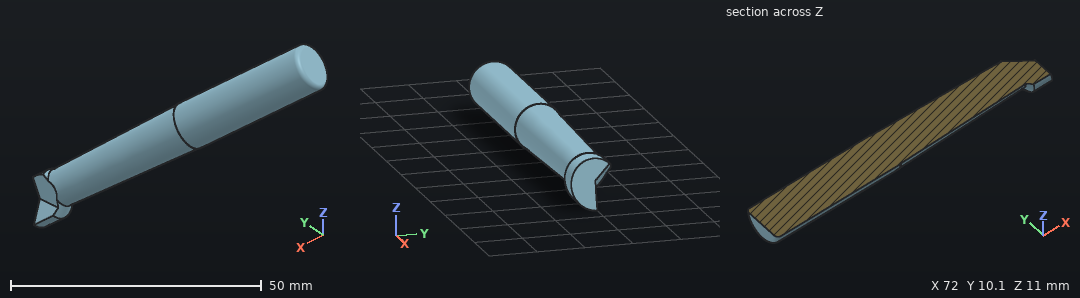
import cadquery as cq
import math

shank_diameter = 10.0
shank_length = 32.0
shank_edge_radius = 1.0
neck_start_diameter = 9.8
neck_end_diameter = 8.0
neck_end_x = 65.0

tip_x = 72.0
tip_z = -6.0
head_radius = 5.06
head_center_z = tip_z + head_radius
front_relief_angle = 15.0
back_cone_angle = 45.0

rake_face_y = 0.0
flute_corner_z = -0.2
floor_climb_forward = 43.0
floor_climb_outward = 49.5

shank_radius = shank_diameter / 2
neck_start_radius = neck_start_diameter / 2
neck_end_radius = neck_end_diameter / 2
back_slope = math.tan(math.radians(back_cone_angle))
front_slope = math.tan(math.radians(front_relief_angle))
clearance = 20.0


def front_face_x(z):
    """X of the inclined front face at height z."""
    return tip_x - (z - tip_z) * front_slope


def revolve_about_bar_axis(half_profile):
    """Solid of revolution about X from points (x, radius)."""
    return cq.Workplane("XZ").polyline(half_profile).close().revolve(360, (0, 0, 0), (1, 0, 0))


def make_shank():
    """Straight shank with a rounded rear edge."""
    shank = cq.Workplane("YZ").circle(shank_radius).extrude(shank_length)
    return shank.faces("<X").edges().fillet(shank_edge_radius)


def make_neck():
    """Neck that tapers from the shank to the head."""
    half_profile = [
        (shank_length, 0),
        (shank_length, neck_start_radius),
        (neck_end_x, neck_end_radius),
        (neck_end_x, 0),
    ]
    return revolve_about_bar_axis(half_profile)


def make_head():
    """Eccentric cylinder with a conical back and an inclined front face."""
    head_length = tip_x - neck_end_x
    cylinder = (
        cq.Workplane("YZ", origin=(neck_end_x, 0, 0))
        .center(0, head_center_z)
        .circle(head_radius)
        .extrude(head_length)
    )
    cone_profile = [
        (neck_end_x, 0),
        (neck_end_x, neck_end_radius),
        (tip_x, neck_end_radius + head_length * back_slope),
        (tip_x, 0),
    ]
    conical_back = revolve_about_bar_axis(cone_profile)
    front_waste = (
        cq.Workplane("XZ")
        .polyline([
            (front_face_x(-clearance), -clearance),
            (front_face_x(clearance), clearance),
            (tip_x + clearance, clearance),
            (tip_x + clearance, -clearance),
        ])
        .close()
        .extrude(clearance, both=True)
    )
    return cylinder.intersect(conical_back).cut(front_waste)


def make_flute():
    """Space beyond the rake face and below the inclined flute floor."""
    corner = (front_face_x(flute_corner_z), rake_face_y, flute_corner_z)
    floor_normal = (
        math.tan(math.radians(floor_climb_forward)),
        math.tan(math.radians(floor_climb_outward)),
        -1,
    )
    floor_plane = cq.Plane(origin=corner, normal=floor_normal)
    below_floor = cq.Workplane(floor_plane).rect(2 * clearance, 2 * clearance).extrude(clearance)
    beyond_rake_face = (
        cq.Workplane("XZ", origin=corner).rect(2 * clearance, 2 * clearance).extrude(-clearance)
    )
    return below_floor.intersect(beyond_rake_face)


result = make_shank().union(make_neck()).union(make_head()).cut(make_flute())